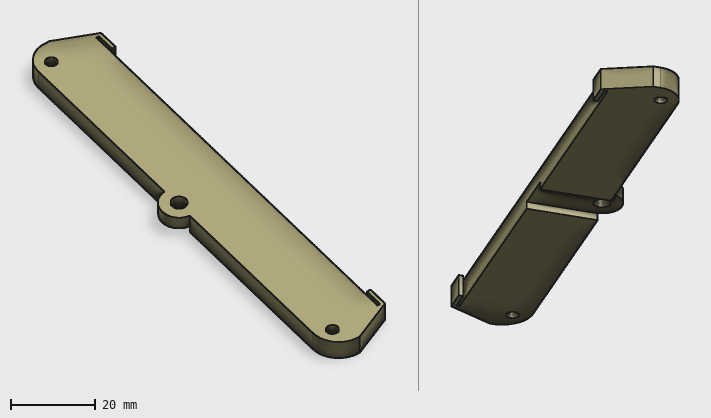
import cadquery as cq

length = 122.8
body_depth = 19.6
thickness = 5.5
half_length = length / 2

back_half_width = 56.2
taper_start_y = 8.2
left_corner_radius = 6.5
right_corner_radius = 7.7

tab_thickness = 1.1
slot_width = 0.7
slot_half_length = 55.6
tab_tip_x = 50.5

end_hole_diameter = 3.1
end_hole_x = 55.6
end_hole_y = 4.4

lug_radius = 5.0
lug_overhang = 4.4
lug_thickness = 3.7
lug_hole_diameter = 4.0
lug_center_y = lug_radius - lug_overhang

channel_width = 2 * lug_radius
channel_depth = thickness - lug_thickness


def make_body():
    """Plate with tapered ends and rounded front corners; front edge on y = 0, underside on z = 0."""
    outline = [
        (-half_length, 0),
        (half_length, 0),
        (half_length, taper_start_y),
        (back_half_width, body_depth),
        (-back_half_width, body_depth),
        (-half_length, taper_start_y),
    ]
    plate = cq.Workplane("XY").polyline(outline).close().extrude(thickness)
    plate = plate.faces("<X").edges("|Z and <Y").fillet(left_corner_radius)
    return plate.faces(">X").edges("|Z and <Y").fillet(right_corner_radius)


def cut_back_tabs(body):
    """Open the back edge between the tabs and cut the slot that frees them from the plate."""
    slot_y = body_depth - tab_thickness - slot_width
    slot = (
        cq.Workplane("XY")
        .box(2 * slot_half_length, slot_width, thickness, centered=(True, False, False))
        .translate((0, slot_y, 0))
    )
    opening = (
        cq.Workplane("XY")
        .box(2 * tab_tip_x, body_depth - slot_y, thickness, centered=(True, False, False))
        .translate((0, slot_y, 0))
    )
    return body.cut(slot).cut(opening)


def cut_channel(body):
    """Cut the channel through the underside from front to back."""
    channel = cq.Workplane("XY").box(
        channel_width, body_depth, channel_depth, centered=(True, False, False)
    )
    return body.cut(channel)


def add_lug(body):
    """Join the round lug, flush with the top face."""
    lug = (
        cq.Workplane("XY", origin=(0, lug_center_y, channel_depth))
        .circle(lug_radius)
        .extrude(lug_thickness)
    )
    return body.union(lug)


def drill(body, x, y, diameter):
    """Drill a plain hole through the full thickness."""
    return body.cut(cq.Workplane("XY", origin=(x, y, 0)).circle(diameter / 2).extrude(thickness))


result = make_body()
result = cut_back_tabs(result)
result = cut_channel(result)
result = add_lug(result)
result = drill(result, 0, lug_center_y, lug_hole_diameter)
for side in (-1, 1):
    result = drill(result, side * end_hole_x, end_hole_y, end_hole_diameter)